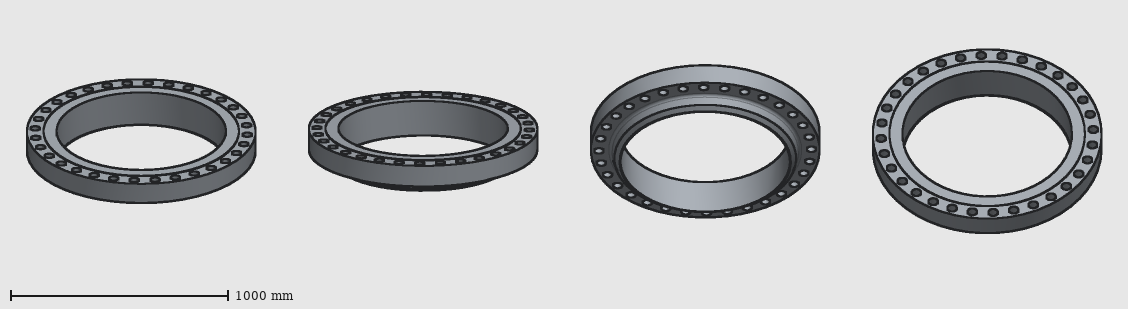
import cadquery as cq

outer_radius = 527.0
bore_radius = 390.0
total_height = 169.0
flange_thickness = 100.0

raised_face_radius = 450.0
raised_face_height = 2.0

weld_end_radius = 394.0
bevel_top_radius = 418.0
bevel_height = 19.0
hub_base_radius = 432.0
hub_fillet_radius = 16.0

bolt_count = 32
bolt_circle_radius = 489.0
bolt_hole_diameter = 43.0

flange_top = total_height - raised_face_height
flange_bottom = flange_top - flange_thickness


def make_body():
    """Revolve the ring section and round the corner between hub and flange."""
    section = (
        cq.Workplane("XZ")
        .moveTo(bore_radius, 0)
        .lineTo(weld_end_radius, 0)
        .lineTo(bevel_top_radius, bevel_height)
        .lineTo(hub_base_radius, flange_bottom)
        .lineTo(outer_radius, flange_bottom)
        .lineTo(outer_radius, flange_top)
        .lineTo(raised_face_radius, flange_top)
        .lineTo(raised_face_radius, total_height)
        .lineTo(bore_radius, total_height)
        .close()
    )
    body = section.revolve(360, (0, 0, 0), (0, 1, 0))
    hub_corner = cq.selectors.RadiusNthSelector(0)
    level = cq.selectors.BoxSelector(
        (-outer_radius, -outer_radius, flange_bottom - raised_face_height),
        (outer_radius, outer_radius, flange_bottom + raised_face_height),
    )
    return body.edges("%CIRCLE").edges(level).edges(hub_corner).fillet(hub_fillet_radius)


def make_bolt_holes():
    """Through cutters spaced evenly around the bolt circle."""
    return (
        cq.Workplane("XY")
        .polarArray(bolt_circle_radius, 0, 360, bolt_count)
        .circle(bolt_hole_diameter / 2)
        .extrude(total_height)
    )


result = make_body().cut(make_bolt_holes())